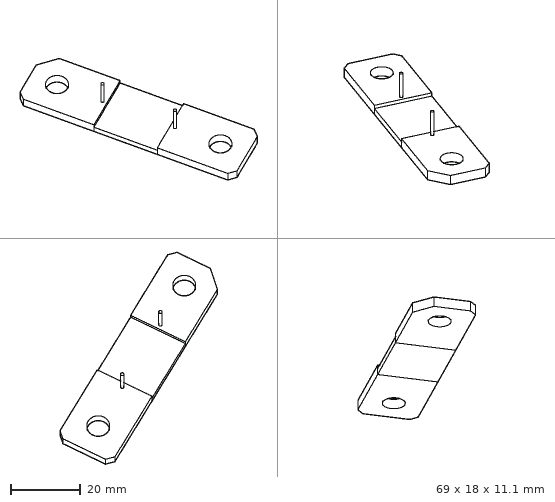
import cadquery as cq

length = 69.0
width = 18.0
height = 11.05

element_length = 20.15
element_thickness = 2.0
terminal_thickness = 3.1
terminal_length = (length - element_length) / 2

corner_cut = 2.0
key_corner_cut = 5.05
hole_diameter = 6.6
hole_spacing = 51.95

pin_diameter = 1.0
pin_spacing = 23.05
pin_length = height - terminal_thickness


def make_terminal(side, back_cut):
    """Plate at one end: side is -1 or 1 along X, back_cut is the outer +Y corner cut."""
    inner_x = side * element_length / 2
    outer_x = side * length / 2
    half_width = width / 2
    plate = (
        cq.Workplane("XY")
        .moveTo(inner_x, -half_width)
        .lineTo(outer_x - side * corner_cut, -half_width)
        .lineTo(outer_x, -half_width + corner_cut)
        .lineTo(outer_x, half_width - back_cut)
        .lineTo(outer_x - side * back_cut, half_width)
        .lineTo(inner_x, half_width)
        .close()
        .extrude(terminal_thickness)
    )
    hole = (
        cq.Workplane("XY")
        .center(side * hole_spacing / 2, 0)
        .circle(hole_diameter / 2)
        .extrude(terminal_thickness)
    )
    return plate.cut(hole)


def make_element():
    """Thin plate joining the terminals, flush with their undersides."""
    return cq.Workplane("XY").box(
        element_length, width, element_thickness, centered=(True, True, False)
    )


def make_pin(side):
    """Round pin standing on the top face of one terminal."""
    return (
        cq.Workplane("XY", origin=(side * pin_spacing / 2, 0, terminal_thickness))
        .circle(pin_diameter / 2)
        .extrude(pin_length)
    )


element = make_element()
terminals = [make_terminal(side, cut) for side, cut in ((-1, key_corner_cut), (1, corner_cut))]
pins = [make_pin(side) for side in (-1, 1)]

bodies = [element, *terminals, *pins]
result = cq.Compound.makeCompound([body.val() for body in bodies])